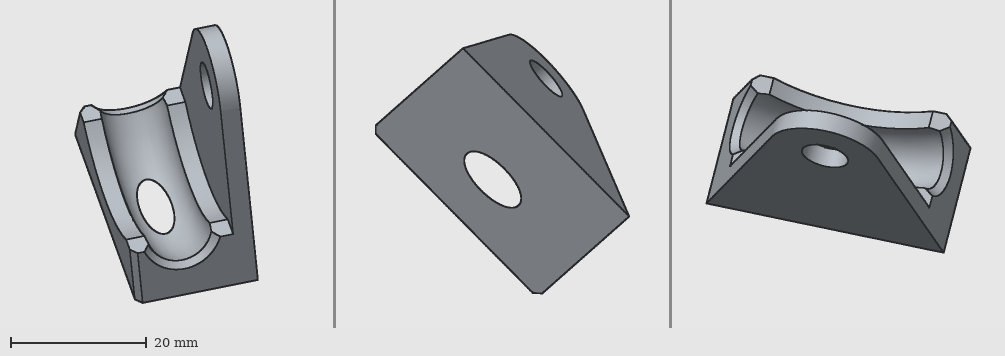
import cadquery as cq
import math

width = 35.85
depth = 18.5
base_height = 7.9
plate_thickness = 3.0
side_angle = math.radians(20)

top_radius = 8.5
eye_diameter = 7.0
eye_height = (width / 2 - top_radius / math.cos(side_angle)) / math.tan(side_angle)

saddle_radius = 20.45
groove_path_radius = 20.05
groove_radius = 5.0
groove_y = (plate_thickness - depth) / 2

corner_chamfer = 0.95
groove_mouth_chamfer = 1.25

rear_y = plate_thickness
front_y = plate_thickness - depth


def side_x(z):
    """Half width between the leaning sides at height z."""
    return width / 2 - z * math.tan(side_angle)


def make_plate():
    tangent_x = top_radius * math.cos(side_angle)
    tangent_z = eye_height + top_radius * math.sin(side_angle)
    return (
        cq.Workplane("XZ", origin=(0, rear_y, 0))
        .moveTo(-width / 2, 0)
        .lineTo(width / 2, 0)
        .lineTo(tangent_x, tangent_z)
        .threePointArc((0, eye_height + top_radius), (-tangent_x, tangent_z))
        .close()
        .extrude(plate_thickness)
    )


def make_base():
    top_x = side_x(base_height)
    block = (
        cq.Workplane("XZ", origin=(0, rear_y, 0))
        .polyline([(-width / 2, 0), (width / 2, 0), (top_x, base_height), (-top_x, base_height)])
        .close()
        .extrude(depth)
    )
    return block.faces("<Y").edges("not #Z").edges("not |X").chamfer(corner_chamfer)


def make_saddle():
    """Cylinder about the eye axis that dishes the base in front of the plate."""
    return (
        cq.Workplane("XZ")
        .center(0, eye_height)
        .circle(saddle_radius)
        .extrude(-front_y)
    )


def make_groove():
    """Ring about the eye axis that hollows the base and breaks through its floor."""
    return (
        cq.Workplane("XY", origin=(0, groove_y, eye_height))
        .center(groove_path_radius, 0)
        .circle(groove_radius)
        .revolve(360, (-groove_path_radius, 0, 0), (-groove_path_radius, 1, 0))
    )


def chamfer_groove_mouths(body):
    """Bevel the curved edges where the groove leaves the two leaning sides."""
    mouths = body.faces("<X or >X").edges("not %LINE")
    return mouths.chamfer(groove_mouth_chamfer)


def make_eye():
    return (
        cq.Workplane("XZ", origin=(0, rear_y, 0))
        .center(0, eye_height)
        .circle(eye_diameter / 2)
        .extrude(plate_thickness)
    )


base = make_base().cut(make_groove())
base = chamfer_groove_mouths(base)
base = base.cut(make_saddle())
result = base.union(make_plate()).cut(make_eye())